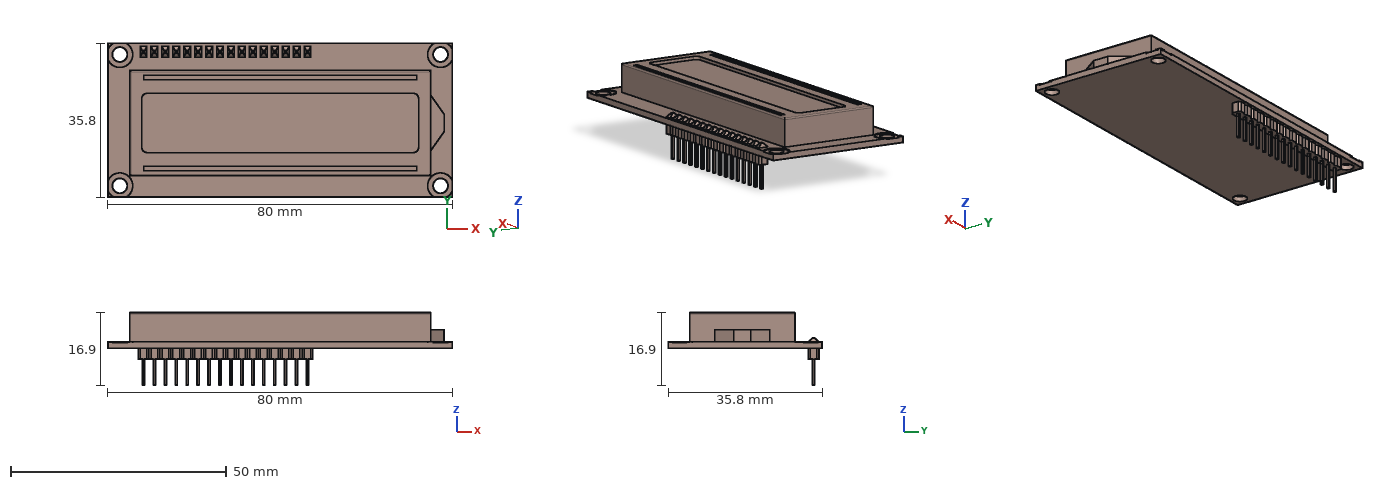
import cadquery as cq

BOARD_LENGTH = 80.0
BOARD_WIDTH = 35.8
BOARD_THICKNESS = 1.5

HOLE_SPACING_X = 74.5
HOLE_SPACING_Y = 30.5
HOLE_DIAMETER = 3.4
PAD_DIAMETER = 6.0
PAD_DEPTH = 0.2

BEZEL_LENGTH = 70.0
BEZEL_WIDTH = 24.5
BEZEL_HEIGHT = 6.9
BEZEL_OFFSET_Y = -0.65
BEZEL_FILLET = 0.3

WINDOW_LENGTH = 64.3
WINDOW_WIDTH = 13.75
WINDOW_CORNER_RADIUS = 1.2
WINDOW_DEPTH = 0.8
GROOVE_LENGTH = 63.4
GROOVE_WIDTH = 1.0
GROOVE_SPACING = 21.15
GROOVE_DEPTH = 0.5

TAB_REACH = 3.1
TAB_HEIGHT = 2.9
TAB_ROOT_WIDTH = 12.8
TAB_TIP_WIDTH = 4.0

PIN_COUNT = 16
PIN_PITCH = 2.54
HEADER_CENTER_X = -12.7
HEADER_Y = 15.9
HOUSING_HEIGHT = 2.5
HOUSING_CHAMFER = 0.5
PIN_WIDTH = 0.55
PIN_TIP_CHAMFER = 0.1
PIN_PROTRUSION = 0.1
PIN_LENGTH = 6.0

SOLDER_LENGTH_X = 1.6
SOLDER_LENGTH_Y = 2.5
SOLDER_TIP_WIDTH = 0.6
SOLDER_HEIGHT = 0.9

BEZEL_TOP = BOARD_THICKNESS + BEZEL_HEIGHT
PIN_BOTTOM = -HOUSING_HEIGHT - PIN_LENGTH
PIN_TOP = BOARD_THICKNESS + SOLDER_HEIGHT + PIN_PROTRUSION
PIN_POSITIONS = [
    (HEADER_CENTER_X + (index - (PIN_COUNT - 1) / 2) * PIN_PITCH, HEADER_Y)
    for index in range(PIN_COUNT)
]


def plane_at(z):
    return cq.Workplane("XY", origin=(0, 0, z))


def bezel_plane_at(z):
    return cq.Workplane("XY", origin=(0, BEZEL_OFFSET_Y, z))


def make_board():
    board = plane_at(0).rect(BOARD_LENGTH, BOARD_WIDTH).extrude(BOARD_THICKNESS)
    return (
        board.faces(">Z").workplane()
        .rect(HOLE_SPACING_X, HOLE_SPACING_Y, forConstruction=True)
        .vertices()
        .cboreHole(HOLE_DIAMETER, PAD_DIAMETER, PAD_DEPTH)
    )


def make_bezel():
    bezel = (
        bezel_plane_at(BOARD_THICKNESS)
        .rect(BEZEL_LENGTH, BEZEL_WIDTH)
        .extrude(BEZEL_HEIGHT)
        .faces(">Z").edges().fillet(BEZEL_FILLET)
    )
    window = (
        bezel_plane_at(BEZEL_TOP - WINDOW_DEPTH)
        .rect(WINDOW_LENGTH, WINDOW_WIDTH)
        .extrude(WINDOW_DEPTH)
        .edges("|Z").fillet(WINDOW_CORNER_RADIUS)
    )
    grooves = (
        bezel_plane_at(BEZEL_TOP - GROOVE_DEPTH)
        .rarray(1, GROOVE_SPACING, 1, 2)
        .rect(GROOVE_LENGTH, GROOVE_WIDTH)
        .extrude(GROOVE_DEPTH)
    )
    return bezel.cut(window).cut(grooves)


def make_tab():
    root_x = BEZEL_LENGTH / 2
    tip_x = root_x + TAB_REACH
    outline = [
        (root_x, -TAB_ROOT_WIDTH / 2),
        (tip_x, -TAB_TIP_WIDTH / 2),
        (tip_x, TAB_TIP_WIDTH / 2),
        (root_x, TAB_ROOT_WIDTH / 2),
    ]
    return bezel_plane_at(BOARD_THICKNESS).polyline(outline).close().extrude(TAB_HEIGHT)


def make_header():
    housing = (
        plane_at(0)
        .rect(PIN_PITCH, PIN_PITCH)
        .extrude(-HOUSING_HEIGHT)
        .edges("|Z").chamfer(HOUSING_CHAMFER)
        .val()
    )
    housings = plane_at(0).pushPoints(PIN_POSITIONS).eachpoint(housing, combine="a")
    pin = (
        plane_at(PIN_BOTTOM)
        .rect(PIN_WIDTH, PIN_WIDTH)
        .extrude(PIN_TOP - PIN_BOTTOM)
        .faces("<Z or >Z").chamfer(PIN_TIP_CHAMFER)
        .val()
    )
    pins = plane_at(0).pushPoints(PIN_POSITIONS).eachpoint(pin, combine="a")
    return housings.union(pins)


def make_solder():
    cone = (
        plane_at(0)
        .rect(SOLDER_LENGTH_X, SOLDER_LENGTH_Y)
        .workplane(offset=SOLDER_HEIGHT)
        .rect(SOLDER_TIP_WIDTH, SOLDER_TIP_WIDTH)
        .loft(ruled=True)
        .val()
    )
    return plane_at(BOARD_THICKNESS).pushPoints(PIN_POSITIONS).eachpoint(cone, combine="a")


result = (
    make_board()
    .union(make_bezel())
    .union(make_tab())
    .union(make_header())
    .union(make_solder())
)